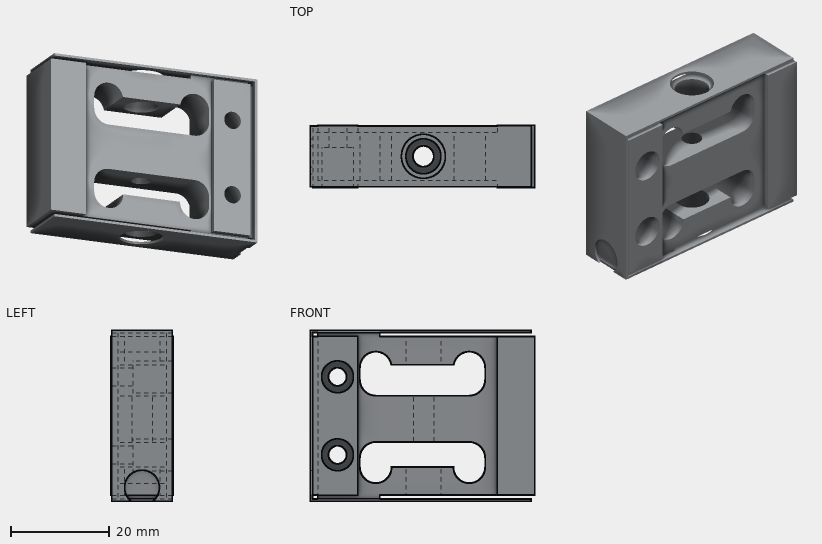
import cadquery as cq

length = 45.7
sleeve_height = 34.8
sleeve_width = 12.4
sleeve_length = 44.92
sheet = 0.5

body_height = 32.25
block_width = 12.7
web_width = 9.8
left_block_end = 9.7
right_block_start = 38.0
rear_step = 1.05
step_depth = (block_width - web_width) / 2

spacer_start = sheet + rear_step
spacer_end = 14.15

mount_x = 5.58
mount_z = 7.93
mount_diameter = 3.65
mount_bore_diameter = 6.5
mount_bore_depth = 8.23

window_left = 10.15
window_right = 35.55
lobe_radius = 3.2
upper_window = {"inner": 4.1, "flat": 10.37, "outer": 13.02}
lower_window = {"inner": 5.35, "flat": 10.37, "outer": 13.65}

bore_x = 23.05
sleeve_hole_diameter = 8.95
flange_bore_diameter = 7.15
web_bore_diameter = 4.2

end_hole_diameter = 7.1
end_hole_z = -14.6


def box(x_start, x_end, width, z_start, z_end):
    """Box centred on Y between the given X and Z limits."""
    blank = cq.Workplane("XY").box(x_end - x_start, width, z_end - z_start, centered=(False, True, False))
    return blank.translate((x_start, 0, z_start))


def cylinder_z(diameter, z_start, z_end):
    """Vertical cylinder on the axis of the bore."""
    plane = cq.Workplane("XY", origin=(bore_x, 0, z_start))
    return plane.circle(diameter / 2).extrude(z_end - z_start)


def cylinder_y(x, z, diameter, y_start, y_end):
    """Cylinder along Y; the XZ plane points towards -Y."""
    plane = cq.Workplane("XZ", origin=(x, y_end, z))
    return plane.circle(diameter / 2).extrude(y_end - y_start)


def make_sleeve():
    half_height = sleeve_height / 2
    inner_half_height = half_height - sheet
    sleeve = box(0, sleeve_length, sleeve_width, -half_height, half_height)
    sleeve = sleeve.cut(box(sheet, length, sleeve_width, -inner_half_height, inner_half_height))
    sleeve = sleeve.cut(cylinder_z(sleeve_hole_diameter, -half_height, half_height))
    end_plane = cq.Workplane("YZ", origin=(0, 0, end_hole_z))
    return sleeve.cut(end_plane.circle(end_hole_diameter / 2).extrude(sheet))


def make_window(side, inner, flat, outer):
    """Window with two round lobes pointing away from mid-height; side is +1 above, -1 below."""
    z_start, z_end = sorted((side * inner, side * outer))
    window = box(window_left, window_right, block_width, z_start, z_end)
    window = window.edges("|Y").fillet(lobe_radius)
    lobe_centers = (window_left + lobe_radius, window_right - lobe_radius)
    z_start, z_end = sorted((side * flat, side * outer))
    tongue = box(*lobe_centers, block_width, z_start, z_end)
    for x in lobe_centers:
        lobe_z = side * (outer - lobe_radius)
        tongue = tongue.cut(cylinder_y(x, lobe_z, 2 * lobe_radius, -block_width / 2, block_width / 2))
    return window.cut(tongue)


def make_body():
    half_height = body_height / 2
    half_width = block_width / 2
    body = box(sheet, length, block_width, -half_height, half_height)
    recess = box(left_block_end, right_block_start, step_depth, -half_height, half_height)
    recess_y = (web_width + step_depth) / 2
    for side in (-1, 1):
        body = body.cut(recess.translate((0, side * recess_y, 0)))
    rear_notch = box(sheet, spacer_start, step_depth, -half_height, half_height)
    body = body.cut(rear_notch.translate((0, recess_y, 0)))

    inner_half_height = sleeve_height / 2 - sheet
    body = body.union(box(spacer_start, spacer_end, web_width, -inner_half_height, inner_half_height))

    for z in (-mount_z, mount_z):
        body = body.cut(cylinder_y(mount_x, z, mount_diameter, -half_width, half_width))
        body = body.cut(cylinder_y(mount_x, z, mount_bore_diameter, -half_width, mount_bore_depth - half_width))

    body = body.cut(make_window(1, **upper_window))
    body = body.cut(make_window(-1, **lower_window))

    body = body.cut(cylinder_z(web_bore_diameter, -half_height, half_height))
    body = body.cut(cylinder_z(flange_bore_diameter, upper_window["inner"], half_height))
    return body.cut(cylinder_z(flange_bore_diameter, -half_height, -lower_window["inner"]))


result = make_sleeve().union(make_body())